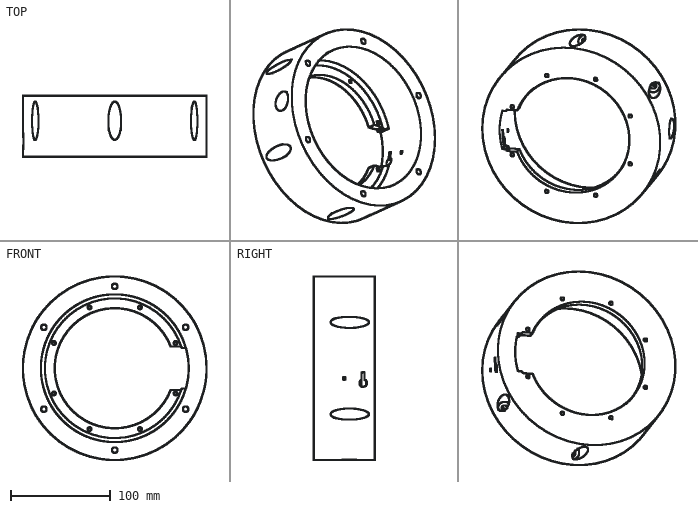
import cadquery as cq
import math

outer_radius = 92.0
width = 61.5
bore_radius = 74.0
front_y = -width / 2
back_y = width / 2

flange_thickness = 9.2
flange_radius = 60.0
cone_radius = 70.0
flange_y = back_y - flange_thickness
cone_start_y = flange_y - (bore_radius - cone_radius)

gap_half_height = 21.7
step_half_height = 20.0
step_start_x = 66.0
step_end_x = 67.7

flange_hole_diameter = 3.3
flange_hole_circle_radius = 65.9
flange_hole_count = 8
screw_hole_diameter = 5.5
screw_hole_circle_radius = 81.9
screw_hole_depth = 9.2
screw_count = 6

pocket_diameter = 12.9
pocket_opening_length = 38.3
pocket_y = front_y + 36.2
pocket_slope = math.asin(pocket_diameter / pocket_opening_length)
pocket_depth = outer_radius - screw_hole_circle_radius

side_hole_diameter = 20.0
side_hole_y = front_y + 15.6

small_hole_diameter = 3.0
small_hole_y = front_y + 30.7
small_hole_z = -10.1
keyhole_head_diameter = 7.4
keyhole_slot_width = 3.0
keyhole_y = front_y + 49.7
keyhole_head_z = -14.9
keyhole_top_z = -5.3


def make_ring():
    """Revolve the wall and flange section about the Y axis."""
    section = [
        (outer_radius, front_y),
        (outer_radius, back_y),
        (flange_radius, back_y),
        (flange_radius, flange_y),
        (cone_radius, flange_y),
        (bore_radius, cone_start_y),
        (bore_radius, front_y),
    ]
    return cq.Workplane("XY").polyline(section).close().revolve(360, (0, 0, 0), (0, 1, 0))


def make_flange_gap():
    """Stepped opening that removes the flange but leaves the outer wall whole."""
    upper = [
        (0, gap_half_height),
        (step_start_x, gap_half_height),
        (step_end_x, step_half_height),
        (outer_radius, step_half_height),
    ]
    lower = [(x, -z) for x, z in reversed(upper)]
    opening = cq.Workplane("XZ", origin=(0, back_y, 0)).polyline(upper + lower).close().extrude(width)
    bore = cq.Workplane("XZ", origin=(0, back_y, 0)).circle(bore_radius).extrude(width)
    return opening.intersect(bore)


def axial_holes(y, circle_radius, start_angle, count, diameter, depth):
    """Ring of holes running from y toward +Y."""
    return (
        cq.Workplane("XZ", origin=(0, y, 0))
        .polarArray(circle_radius, start_angle, 360, count)
        .circle(diameter / 2)
        .extrude(-depth)
    )


def make_pocket():
    """Cylinder on the +X side, slanting inward toward the front face."""
    rim_point = cq.Vector(outer_radius, pocket_y, 0)
    inward = cq.Vector(-math.sin(pocket_slope), -math.cos(pocket_slope), 0)
    inner_length = pocket_depth / math.sin(pocket_slope)
    outer_length = pocket_opening_length
    start = rim_point - inward * outer_length
    length = outer_length + inner_length
    return cq.Workplane(cq.Solid.makeCylinder(pocket_diameter / 2, length, start, inward))


def wall_plane(y, z):
    """Plane at the ring axis facing +X, with local x along +Y and local y along +Z."""
    return cq.Workplane("YZ", origin=(0, y, z))


def make_keyhole():
    """Vertical slot with a larger round head at its lower end."""
    head = wall_plane(keyhole_y, keyhole_head_z).circle(keyhole_head_diameter / 2).extrude(outer_radius)
    slot_height = keyhole_top_z - keyhole_head_z
    slot = (
        wall_plane(keyhole_y, (keyhole_top_z + keyhole_head_z) / 2)
        .slot2D(slot_height + keyhole_slot_width, keyhole_slot_width, 90)
        .extrude(outer_radius)
    )
    return head.union(slot)


result = make_ring().cut(make_flange_gap())

result = result.cut(
    axial_holes(
        flange_y,
        flange_hole_circle_radius,
        180 / flange_hole_count,
        flange_hole_count,
        flange_hole_diameter,
        flange_thickness,
    )
)

result = result.cut(
    axial_holes(
        front_y,
        screw_hole_circle_radius,
        180 / screw_count,
        screw_count,
        screw_hole_diameter,
        screw_hole_depth,
    )
)
pocket = make_pocket()
for index in range(screw_count):
    angle = (index + 0.5) * 360 / screw_count
    result = result.cut(pocket.rotate((0, 0, 0), (0, 1, 0), angle))

side_hole = wall_plane(side_hole_y, 0).circle(side_hole_diameter / 2).extrude(-outer_radius)
result = result.cut(side_hole)

small_hole = wall_plane(small_hole_y, small_hole_z).circle(small_hole_diameter / 2).extrude(outer_radius)
result = result.cut(small_hole)
result = result.cut(make_keyhole())